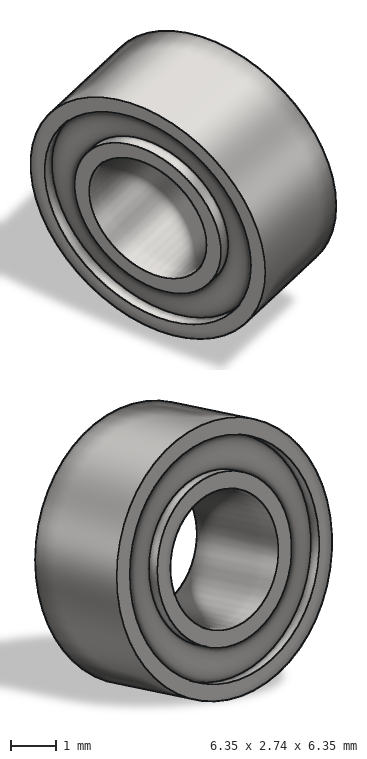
import cadquery as cq

outer_diameter = 6.35
bore_diameter = outer_diameter / 2
width = 2.74

recess_outer_diameter = 5.58
recess_inner_diameter = 3.955
recess_depth = 0.28


def ring(outer, inner, length):
    """Ring around the Y axis, centred on the origin."""
    return (
        cq.Workplane("XZ")
        .circle(outer / 2)
        .circle(inner / 2)
        .extrude(length)
        .translate((0, length / 2, 0))
    )


result = ring(outer_diameter, bore_diameter, width)

recess = ring(recess_outer_diameter, recess_inner_diameter, 2 * recess_depth)
for side in (-1, 1):
    result = result.cut(recess.translate((0, side * width / 2, 0)))